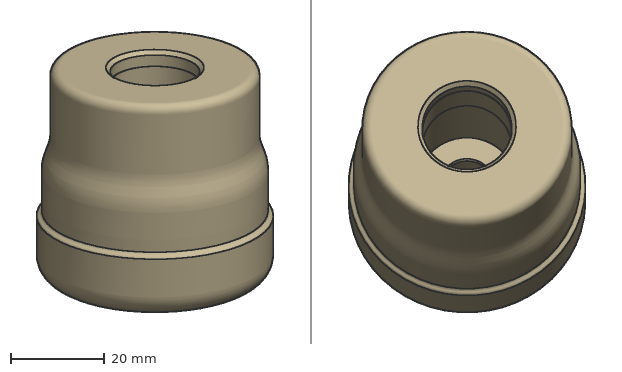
import cadquery as cq
import math

TOTAL_HEIGHT = 48.0
FOOT_RADIUS = 25.4
FOOT_BASE_ROUND = 5.1
SHOULDER_SIZE = 0.6
FILLET_HEIGHT = 0.55
FILLET_WIDTH = 0.5
SHOULDER_ARC_RADIUS = 1.0
SHOULDER_HEIGHT = 14.5

WAIST_RADIUS = 24.35
WAIST_BOTTOM = 18.0
WAIST_TOP = 24.15
WAIST_FOOT_RADIUS = FOOT_RADIUS - SHOULDER_SIZE - FILLET_WIDTH

NECK_START = 32.2
NECK_RADIUS = 22.5
TOP_ROUND = 2.0

CONE_BOTTOM = 27.4
CONE_TOP = 29.5

MOUTH_RADIUS = 9.6
MOUTH_CHAMFER = 0.9
CAVITY_RADIUS = 10.5
CAVITY_TOP = 44.5
CAVITY_FLOOR = 15.25
HOLE_RADIUS = 5.3
HOLE_CHAMFER = 0.35

BUSHING_INNER_RADIUS = 9.55
BUSHING_BOTTOM = 36.0


def blend_slope():
    """Angle from the axis at which the cone meets both arcs tangentially."""
    arc_height = (CONE_BOTTOM - WAIST_TOP) + (NECK_START - CONE_TOP)
    cone_height = CONE_TOP - CONE_BOTTOM
    half_tangent = 0.0
    for _ in range(30):
        cone_factor = 2 * cone_height / (1 - half_tangent**2)
        half_tangent = (WAIST_RADIUS - NECK_RADIUS) / (arc_height + cone_factor)
    return 2 * math.atan(half_tangent)


def revolve_about_z(profile):
    return profile.revolve(360, (0, 0, 0), (0, 1, 0))


def make_housing():
    """Turned housing: foot, shoulder, waist and neck outside, stepped opening inside."""
    slope = blend_slope()
    half_tangent = math.tan(slope / 2)
    waist_arc_height = CONE_BOTTOM - WAIST_TOP
    neck_arc_height = NECK_START - CONE_TOP
    cone_bottom_radius = WAIST_RADIUS - waist_arc_height * half_tangent
    cone_top_radius = NECK_RADIUS + neck_arc_height * half_tangent
    waist_arc_radius = waist_arc_height / math.sin(slope)
    neck_arc_radius = neck_arc_height / math.sin(slope)

    profile = (
        cq.Workplane("XZ")
        .moveTo(HOLE_RADIUS, 0)
        .lineTo(FOOT_RADIUS - FOOT_BASE_ROUND, 0)
        .radiusArc((FOOT_RADIUS, FOOT_BASE_ROUND), -FOOT_BASE_ROUND)
        .lineTo(FOOT_RADIUS, SHOULDER_HEIGHT - SHOULDER_SIZE)
        .radiusArc((FOOT_RADIUS - SHOULDER_SIZE, SHOULDER_HEIGHT), -SHOULDER_ARC_RADIUS)
        .radiusArc((WAIST_FOOT_RADIUS, SHOULDER_HEIGHT + FILLET_HEIGHT), SHOULDER_ARC_RADIUS)
        .lineTo(WAIST_RADIUS, WAIST_BOTTOM)
        .lineTo(WAIST_RADIUS, WAIST_TOP)
        .radiusArc((cone_bottom_radius, CONE_BOTTOM), -waist_arc_radius)
        .lineTo(cone_top_radius, CONE_TOP)
        .radiusArc((NECK_RADIUS, NECK_START), neck_arc_radius)
        .lineTo(NECK_RADIUS, TOTAL_HEIGHT - TOP_ROUND)
        .radiusArc((NECK_RADIUS - TOP_ROUND, TOTAL_HEIGHT), -TOP_ROUND)
        .lineTo(MOUTH_RADIUS + MOUTH_CHAMFER, TOTAL_HEIGHT)
        .lineTo(MOUTH_RADIUS, TOTAL_HEIGHT - MOUTH_CHAMFER)
        .lineTo(MOUTH_RADIUS, CAVITY_TOP)
        .lineTo(CAVITY_RADIUS, CAVITY_TOP)
        .lineTo(CAVITY_RADIUS, CAVITY_FLOOR)
        .lineTo(HOLE_RADIUS + HOLE_CHAMFER, CAVITY_FLOOR)
        .lineTo(HOLE_RADIUS, CAVITY_FLOOR - HOLE_CHAMFER)
        .close()
    )
    return revolve_about_z(profile)


def make_bushing():
    """Plain ring that fills the cavity wall below the mouth."""
    return (
        cq.Workplane("XY", origin=(0, 0, BUSHING_BOTTOM))
        .circle(CAVITY_RADIUS)
        .circle(BUSHING_INNER_RADIUS)
        .extrude(CAVITY_TOP - BUSHING_BOTTOM)
    )


housing = make_housing()
bushing = make_bushing()

result = cq.Compound.makeCompound([housing.val(), bushing.val()])